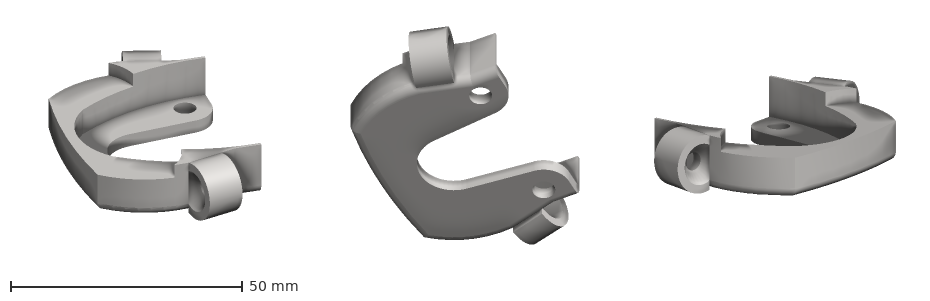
import cadquery as cq
import math

base_z = -5.95
floor_thickness = 3.0
rim_height = 9.0
ear_height = 12.1
bottom_fillet = 2.0

back_half_width = 20.75
side_straight = 6.0
body_radius = 24.05
slot_radius = 8.0
round_center_y = -20.05
barrel_edge_y = -17.3
front_corner_y = -36.15
front_y = -37.65

tab_x = 15.6
tab_radius = 6.0
tab_hole_diameter = 5.0

recess_half_width = 20.05
recess_side = (17.6, -17.45)
recess_join = (10.9, -30.6)
recess_front_y = -35.2

step_inner = (17.85, -17.1)
step_middle = (22.0, -18.9)
step_outer_y = -20.7

barrel_diameter = 13.0
barrel_length = 8.35
barrel_x = 24.95
barrel_y = -12.9
barrel_angle = 15.0
screw_diameter = 4.0
countersink_diameter = 9.2
countersink_depth = 3.0

margin = 6.5


def on_body_round(y):
    """Half width of the large body circle at the given Y."""
    return math.sqrt(body_radius**2 - (y - round_center_y) ** 2)


def mirror_point(point):
    return (-point[0], point[1])


barrel_edge = (on_body_round(barrel_edge_y), barrel_edge_y)
front_corner = (on_body_round(front_corner_y), front_corner_y)
side_corner = (back_half_width, -side_straight)


def front_disc():
    """Large disc with a rounded bottom edge that sets the curved front."""
    front_sagitta = front_corner_y - front_y
    radius = (front_corner[0] ** 2 + front_sagitta**2) / (2 * front_sagitta)
    disc = cq.Workplane("XY", origin=(0, front_y + radius, base_z)).circle(radius).extrude(ear_height)
    return disc.faces("<Z").edges().fillet(bottom_fillet)


def round_block():
    """Block with a round front and tangent straight sides, rounded along the bottom."""
    side_slope = (barrel_edge_y - round_center_y) / barrel_edge[0]
    back_corner = (barrel_edge[0] + side_slope * barrel_edge_y, 0)
    block = (
        cq.Workplane("XY", origin=(0, 0, base_z))
        .moveTo(*mirror_point(back_corner))
        .lineTo(*back_corner)
        .lineTo(*barrel_edge)
        .threePointArc((0, round_center_y - body_radius), mirror_point(barrel_edge))
        .close()
        .extrude(ear_height)
    )
    return block.faces("<Z").edges("not(>Y)").fillet(bottom_fillet)


def flank_block():
    """Block bounded by the back edge, the short straight sides and the slanted flanks."""
    slant = (barrel_edge[0] - side_corner[0]) / (side_corner[1] - barrel_edge[1])
    block_front_y = front_y - margin
    block_front = (side_corner[0] + slant * (side_corner[1] - block_front_y), block_front_y)
    right_side = [(back_half_width, 0), side_corner, block_front]
    left_side = [mirror_point(point) for point in reversed(right_side)]
    block = (
        cq.Workplane("XY", origin=(0, 0, base_z))
        .polyline(right_side + left_side)
        .close()
        .extrude(ear_height)
    )
    return block.faces("<Z").edges("not(<Y or >Y)").fillet(bottom_fillet)


def body_block():
    """Common volume of three rounded blocks, so the bottom rounds meet in miters."""
    return flank_block().intersect(round_block()).intersect(front_disc())


def rim_step():
    """Space in front of the ears and above the rim."""
    outer = (on_body_round(step_outer_y), step_outer_y)
    side = body_radius + margin
    return (
        cq.Workplane("XY", origin=(0, 0, base_z + rim_height))
        .moveTo(*mirror_point(step_inner))
        .lineTo(*step_inner)
        .threePointArc(step_middle, outer)
        .lineTo(side, step_outer_y)
        .lineTo(side, front_y - margin)
        .lineTo(-side, front_y - margin)
        .lineTo(-side, step_outer_y)
        .lineTo(*mirror_point(outer))
        .threePointArc(mirror_point(step_middle), mirror_point(step_inner))
        .close()
        .extrude(ear_height)
    )


def recess():
    return (
        cq.Workplane("XY", origin=(0, 0, base_z + floor_thickness))
        .moveTo(-recess_half_width, 0)
        .lineTo(recess_half_width, 0)
        .threePointArc(recess_side, recess_join)
        .threePointArc((0, recess_front_y), mirror_point(recess_join))
        .threePointArc(mirror_point(recess_side), (-recess_half_width, 0))
        .close()
        .extrude(ear_height)
    )


def slot():
    """U opening whose flanks are tangent to its round end and to both tab rounds."""
    center_dx = tab_x
    center_dy = -tab_radius - round_center_y
    center_distance = math.hypot(center_dx, center_dy)
    tangent_angle = math.acos((slot_radius + tab_radius) / center_distance)
    normal_angle = math.atan2(center_dy, center_dx) - tangent_angle
    nx = math.cos(normal_angle)
    ny = math.sin(normal_angle)
    end_tangent = (slot_radius * nx, round_center_y + slot_radius * ny)
    tab_tangent = (tab_x - tab_radius * nx, -tab_radius - tab_radius * ny)
    mid_angle = (math.pi / 2 + math.pi + normal_angle) / 2
    tab_middle = (
        tab_x + tab_radius * math.cos(mid_angle),
        -tab_radius + tab_radius * math.sin(mid_angle),
    )
    return (
        cq.Workplane("XY", origin=(0, 0, base_z))
        .moveTo(-tab_x, 0)
        .lineTo(tab_x, 0)
        .threePointArc(tab_middle, tab_tangent)
        .lineTo(*end_tangent)
        .threePointArc((0, round_center_y - slot_radius), mirror_point(end_tangent))
        .lineTo(*mirror_point(tab_tangent))
        .threePointArc(mirror_point(tab_middle), (-tab_x, 0))
        .close()
        .extrude(ear_height)
    )


def tab_holes():
    return (
        cq.Workplane("XY", origin=(0, 0, base_z))
        .pushPoints([(-tab_x, -tab_radius), (tab_x, -tab_radius)])
        .circle(tab_hole_diameter / 2)
        .extrude(ear_height)
    )


def place_barrel(shape):
    """Move a shape built along +Y from the origin onto the +X barrel axis."""
    angle = math.radians(barrel_angle)
    front_x = barrel_x + barrel_length / 2 * math.sin(angle)
    front_end_y = barrel_y - barrel_length / 2 * math.cos(angle)
    return shape.rotate((0, 0, 0), (0, 0, 1), barrel_angle).translate((front_x, front_end_y, 0))


def barrel():
    """Barrel on the +X side, trimmed flush with the slanted body flank."""
    cylinder = cq.Workplane("XZ").circle(barrel_diameter / 2).extrude(-barrel_length)
    flank_x = barrel_edge[0] - side_corner[0]
    flank_y = barrel_edge[1] - side_corner[1]
    reach_before = (side_corner[0] - flank_x, side_corner[1] - flank_y)
    reach_after = (barrel_edge[0] + flank_x, barrel_edge[1] + flank_y)
    inside_flank = (
        cq.Workplane("XY", origin=(0, 0, -barrel_diameter))
        .polyline([(0, reach_before[1]), reach_before, reach_after, (0, reach_after[1])])
        .close()
        .extrude(2 * barrel_diameter)
    )
    return place_barrel(cylinder).cut(inside_flank)


def screw_hole():
    """Through hole of the +X barrel, countersunk equally at both ends."""
    hole = (
        cq.Workplane("XY")
        .lineTo(countersink_diameter / 2, 0)
        .lineTo(screw_diameter / 2, countersink_depth)
        .lineTo(screw_diameter / 2, barrel_length - countersink_depth)
        .lineTo(countersink_diameter / 2, barrel_length)
        .lineTo(0, barrel_length)
        .close()
        .revolve(360, (0, 0, 0), (0, 1, 0))
    )
    return place_barrel(hole)


result = body_block().cut(rim_step()).cut(recess()).cut(slot()).cut(tab_holes())
result = result.union(barrel()).union(barrel().mirror("YZ"))
result = result.cut(screw_hole()).cut(screw_hole().mirror("YZ"))